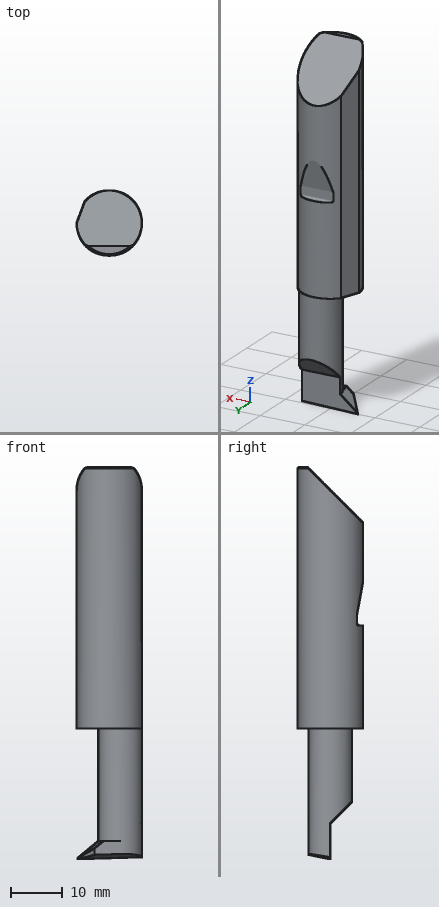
import cadquery as cq
import math

total_length = 76.2
shank_radius = 6.36
shank_bottom = 25.4
top_chamfer = 0.3
side_flat_end_y = 4.2
top_bevel_start_y = -4.5

notch_depth = 1.15
notch_bottom = 45.4
notch_floor_top = 47.55
notch_top = 53.8
notch_corner_radius = 0.4

neck_radius = 4.3
neck_x = shank_radius - neck_radius
half_cut_top = 6.9

tip_x = -6.2
slope_foot_x = -6.4
head_height = 3.5
head_top_x = neck_x - neck_radius
head_front_x = -2.8
rake_shift = 1.0
bottom_rise_x = 0.03
bottom_rise_y = 0.18

cutter_size = 4 * shank_radius


def yz_prism(points):
    """Outline in Y and Z, extended through the whole part along X."""
    return cq.Workplane("YZ").polyline(points).close().extrude(cutter_size / 2, both=True)


def make_shank():
    shank = (
        cq.Workplane("XY", origin=(0, 0, shank_bottom))
        .circle(shank_radius)
        .extrude(total_length - shank_bottom)
        .faces(">Z")
        .chamfer(top_chamfer)
    )
    return shank.cut(side_flat()).cut(top_bevel()).cut(clamping_notch())


def side_flat():
    """Material outside the chord on the -X side."""
    chord_end_x = -math.sqrt(shank_radius**2 - side_flat_end_y**2)
    return (
        cq.Workplane("XY", origin=(0, 0, shank_bottom))
        .moveTo(-shank_radius, 0)
        .lineTo(chord_end_x, side_flat_end_y)
        .lineTo(-shank_radius, side_flat_end_y)
        .close()
        .extrude(total_length - shank_bottom)
    )


def top_bevel():
    outer_y = top_bevel_start_y + cutter_size
    return yz_prism([
        (top_bevel_start_y, total_length),
        (outer_y, total_length),
        (outer_y, total_length - cutter_size),
    ])


def clamping_notch():
    floor_y = shank_radius - notch_depth
    notch = yz_prism([
        (shank_radius, notch_bottom),
        (floor_y, notch_bottom),
        (floor_y, notch_floor_top),
        (shank_radius, notch_top),
    ])
    inner_corner = cq.selectors.NearestToPointSelector((0, floor_y, notch_bottom))
    return notch.edges(inner_corner).fillet(notch_corner_radius)


def make_neck():
    neck = cq.Workplane("XY").center(neck_x, 0).circle(neck_radius).extrude(shank_bottom)
    half_cut = yz_prism([
        (0, 0),
        (0, half_cut_top),
        (cutter_size, half_cut_top + cutter_size),
        (cutter_size, 0),
    ])
    return neck.cut(half_cut)


def make_head():
    """Pointed head: a plan outline trimmed by a sloping upper face."""
    plan = (
        cq.Workplane("XY")
        .polyline([
            (tip_x, 0),
            (head_front_x, -neck_radius),
            (neck_x, -neck_radius),
            (neck_x, 0),
        ])
        .close()
        .extrude(head_height)
    )
    slope_envelope = (
        cq.Workplane("XZ")
        .polyline(slope_outline(0))
        .close()
        .workplane(offset=neck_radius)
        .polyline(slope_outline(rake_shift))
        .close()
        .loft(ruled=True)
    )
    return plan.intersect(slope_envelope)


def slope_outline(shift):
    return [
        (slope_foot_x + shift, 0),
        (head_top_x + shift, head_height),
        (neck_x, head_height),
        (neck_x, 0),
    ]


def bottom_relief():
    """Block below the inclined bottom face that passes through the tip."""
    relief_plane = cq.Plane(
        origin=(tip_x, 0, 0),
        xDir=(1, 0, bottom_rise_x),
        normal=(-bottom_rise_x, bottom_rise_y, 1),
    )
    return cq.Workplane(relief_plane).rect(2 * cutter_size, 2 * cutter_size).extrude(-cutter_size)


tool_end = make_neck().union(make_head()).cut(bottom_relief())
result = make_shank().union(tool_end)